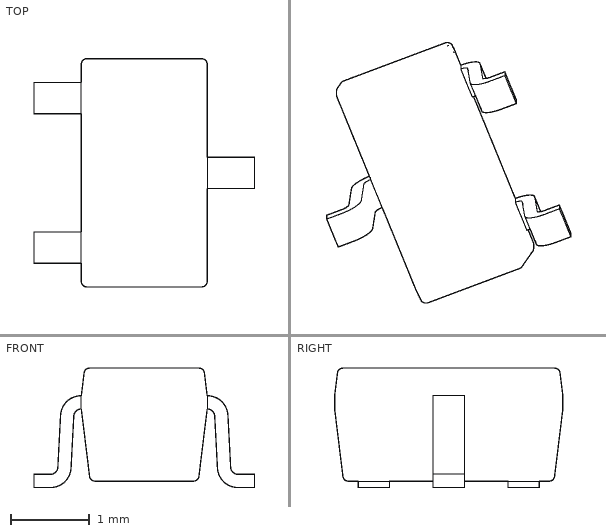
import cadquery as cq
import math

body_width = 1.6
body_length = 2.9
body_bottom = 0.08
body_top = 1.52
draft_angle = 7.0
body_fillet = 0.072

lead_thickness = 0.17
lead_width = 0.4
lead_span = 2.8
lead_pitch = 1.9
leg_lean = 3.0
inner_radius = 0.093
outer_radius = inner_radius + lead_thickness

belt_top = 1.17
belt_bottom = belt_top - lead_thickness


def make_body():
    belt_outline = cq.Workplane("XY", origin=(0, 0, belt_bottom)).rect(body_width, body_length)
    belt = belt_outline.extrude(lead_thickness)
    upper_half = (
        cq.Workplane("XY", origin=(0, 0, belt_top))
        .rect(body_width, body_length)
        .extrude(body_top - belt_top, taper=draft_angle)
    )
    lower_half = (
        cq.Workplane("XY", origin=(0, 0, belt_bottom))
        .rect(body_width, body_length)
        .extrude(body_bottom - belt_bottom, taper=draft_angle)
    )
    body = belt.union(upper_half).union(lower_half)

    corner_edges = body.edges("not(#Z)")
    body = corner_edges.fillet(body_fillet)
    return body.faces("<Z or >Z").edges().fillet(body_fillet)


def point_on_arc(center, radius, angle):
    """Point at an angle, in degrees from +X, on a circle in the XZ plane."""
    x, z = center
    return (x + radius * math.cos(math.radians(angle)), z + radius * math.sin(math.radians(angle)))


def make_left_lead(y_center):
    """Lead that leaves the -X wall of the body, bends down and bends out into a foot."""
    lean = math.radians(leg_lean)
    tip_x = -lead_span / 2
    wall_x = -body_width / 2

    upper_center = (wall_x, belt_top - outer_radius)
    center_rise = upper_center[1] - outer_radius
    leg_offset = inner_radius + outer_radius
    leg_length = (center_rise + leg_offset * math.sin(lean)) / math.cos(lean)
    center_run = leg_offset * math.cos(lean) + leg_length * math.sin(lean)
    lower_center = (wall_x - center_run, outer_radius)

    upper_leg_angle = 180 - leg_lean
    lower_leg_angle = -leg_lean
    upper_mid_angle = (90 + upper_leg_angle) / 2
    lower_mid_angle = (lower_leg_angle - 90) / 2

    profile = (
        cq.Workplane("XZ", origin=(0, y_center, 0))
        .moveTo(tip_x, 0)
        .lineTo(lower_center[0], 0)
        .threePointArc(
            point_on_arc(lower_center, outer_radius, lower_mid_angle),
            point_on_arc(lower_center, outer_radius, lower_leg_angle),
        )
        .lineTo(*point_on_arc(upper_center, inner_radius, upper_leg_angle))
        .threePointArc(
            point_on_arc(upper_center, inner_radius, upper_mid_angle),
            (wall_x, belt_bottom),
        )
        .lineTo(wall_x, belt_top)
        .threePointArc(
            point_on_arc(upper_center, outer_radius, upper_mid_angle),
            point_on_arc(upper_center, outer_radius, upper_leg_angle),
        )
        .lineTo(*point_on_arc(lower_center, inner_radius, lower_leg_angle))
        .threePointArc(
            point_on_arc(lower_center, inner_radius, lower_mid_angle),
            (lower_center[0], lead_thickness),
        )
        .lineTo(tip_x, lead_thickness)
        .close()
    )
    return profile.extrude(lead_width / 2, both=True)


def make_leads():
    """Two leads on the -X wall and one in the middle of the +X wall."""
    leads = []
    for y_center in (-lead_pitch / 2, lead_pitch / 2):
        leads.append(make_left_lead(y_center))
    right_lead = make_left_lead(0).rotate((0, 0, 0), (0, 0, 1), 180)
    leads.append(right_lead)
    return leads


body = make_body()
leads = make_leads()
result = cq.Compound.makeCompound([body.val(), *[lead.val() for lead in leads]])